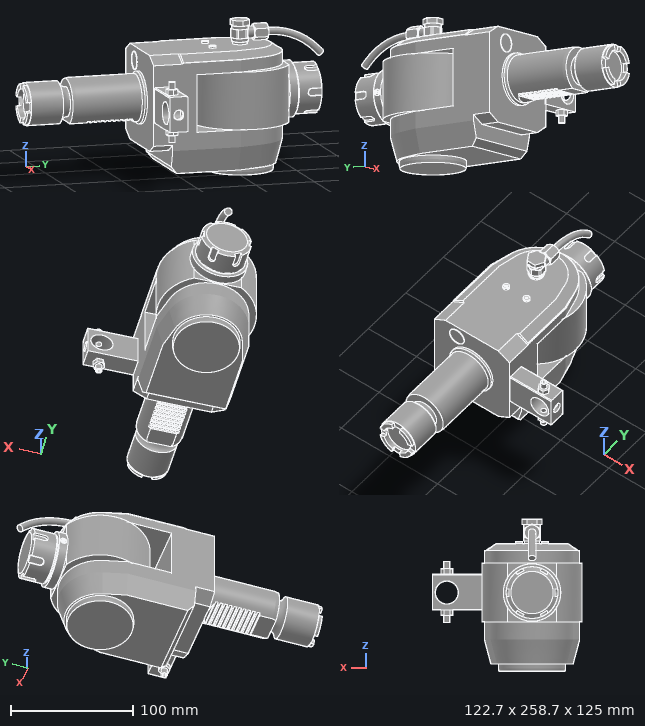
import cadquery as cq
import math


half_width = 39.0
half_height = 40.0
drum_y = 86.0
nose_radius = 35.0
nose_taper = math.radians(15)

rear_chamfer_width = 11.6
rear_chamfer_height = 6.5
rear_slab_length = 16.3
top_step_start_y = 24.5
top_step_end_y = 25.9
bevel_width = 8.5
bevel_height = 5.7
bevel_side_ledge = 1.0
bevel_nose_ledge = 0.3

base_top = -38.8
base_bottom = -58.7
base_draft = 15.0
base_chamfer_y = 5.2
base_chamfer_z = 6.2

drum_radius = 41.0
drum_half_height = 24.0
drum_flat_y = 121.8
window_rear_y = 37.2

collar_radius = 23.5
collar_end_y = 129.0
set_screw_y = 125.5
set_screw_radius = 2.5
set_screw_socket_radius = 1.0
set_screw_recess = 0.8
nut_neck_radius = 20.2
nut_radius = 21.2
nut_start_y = 130.4
nut_end_y = 151.0
nut_face_radius = 17.3
nut_rim_y = 149.5
nut_slot_count = 6
nut_slot_width = 6.2
nut_slot_end_y = 138.1
nut_slot_depth = 2.3

bottom_disc_radius = 27.7
bottom_disc_z = -64.7
bottom_disc_edge_z = -62.3
bottom_disc_face_radius = 27.2

shank_radius = 20.0
shank_end_y = -63.0
flange_radius = 21.7
flange_length = 2.0
flange_cone_end_y = -4.0
shank_rim_length = 3.0
shank_rim_radius = 19.5
neck_radius = 12.5
coupling_radius = 17.8
coupling_start_y = -70.5
coupling_end_y = -101.1
coupling_tip_radius = 17.0
claw_depth = 3.0
claw_inner_half_width = 3.5
claw_outer_half_width = 4.7
claw_recess_radius = 12.7
claw_recess_depth = 5.2

tooth_flat_z = -16.5
tooth_flat_start_y = -9.0
tooth_pitch = 4.0
tooth_count = 10
tooth_depth = 1.3
groove_mouth = 2.8
groove_floor = 2.0
tooth_first_y = -11.0

plug_x = -15.8
plug_z = 28.0
plug_radius = 7.5
plug_recess = 0.5

arm_end_x = 81.7
arm_rear_y = 0.8
arm_front_y = 16.3
arm_bottom = -14.2
arm_top = 15.3
arm_hole_x = 69.8
arm_hole_radius = 9.3
arm_screw_y = 6.2
arm_screw_radius = 2.5
arm_screw_socket_radius = 1.3
arm_screw_socket_depth = 2.5
arm_screw_hole_radius = 2.3
arm_screw_length = 10.3
arm_nut_width = 9.8
arm_nut_height = 4.5
arm_side_hole_radius = 4.1
arm_edge_chamfer = 0.8

fitting_base_radius = 6.2
fitting_base_top = 42.2
fitting_body_radius = 6.85
fitting_top = 60.3
cap_bottom = 55.5
cap_width = 16.5
banjo_bottom = 45.3
banjo_top = 52.8
banjo_width = 16.3
banjo_turned_radius = 7.8
port_z = 49.1
port_radius = 5.0
hose_nut_start = 11.0
hose_nut_end = 23.0
hose_nut_width = 14.2
hose_nut_chamfer = 0.9
hose_radius = 3.0
hose_root_length = 1.8
hose_bend_radius = 57.5
hose_bend_angle = math.radians(45.5)
hose_tip_length = 5.2

top_screw_x = 10.5
top_screw_y = 59.2
top_screw_radius = 2.8
top_screw_height = 1.5
top_screw_socket_radius = 1.3


def y_cylinder(radius, y_start, y_end, x=0.0, z=0.0):
    """Cylinder along Y."""
    direction = cq.Vector(0, math.copysign(1, y_end - y_start), 0)
    solid = cq.Solid.makeCylinder(radius, abs(y_end - y_start), cq.Vector(x, y_start, z), direction)
    return cq.Workplane(solid)


def z_cylinder(radius, z_start, z_end, x=0.0, y=0.0):
    """Vertical cylinder."""
    return cq.Workplane("XY", origin=(x, y, z_start)).circle(radius).extrude(z_end - z_start)


def hexagon(width, z_start, z_end, x, y, turn=0):
    """Vertical hexagonal prism measured across corners; turn = 0 puts a corner on +X."""
    prism = cq.Workplane("XY").polygon(6, width).extrude(z_end - z_start)
    return prism.rotate((0, 0, 0), (0, 0, 1), turn).translate((x, y, z_start))


def box(x_range, y_range, z_range):
    """Box spanning three coordinate ranges."""
    sizes = [high - low for low, high in (x_range, y_range, z_range)]
    corner = (x_range[0], y_range[0], z_range[0])
    return cq.Workplane("XY").box(*sizes, centered=False).translate(corner)


cheek_start_y = (
    drum_y
    + nose_radius * math.sin(nose_taper)
    - (half_width - nose_radius * math.cos(nose_taper)) / math.tan(nose_taper)
)


def nose_outline(z, side=half_width, radius=nose_radius):
    """Plan outline of the housing: straight sides, leaning cheeks and a round nose."""
    tangent_x = radius * math.cos(nose_taper)
    tangent_y = drum_y + radius * math.sin(nose_taper)
    return (
        cq.Workplane("XY", origin=(0, 0, z))
        .moveTo(-side, 0)
        .lineTo(side, 0)
        .lineTo(side, cheek_start_y)
        .lineTo(tangent_x, tangent_y)
        .threePointArc((0, drum_y + radius), (-tangent_x, tangent_y))
        .lineTo(-side, cheek_start_y)
        .close()
    )


def symmetric_section(right_side, y):
    """Closed cross-section at the given Y, mirrored from its right side about X = 0."""
    left_side = [(-x, z) for x, z in reversed(right_side)]
    return cq.Workplane("XZ", origin=(0, y, 0)).polyline(right_side + left_side).close()


def make_upper_housing():
    rear_shoulder = half_height - rear_chamfer_height
    bevel_bottom = half_height - bevel_height
    bevel_foot_x = half_width - bevel_side_ledge

    rear_slope_foot_z = rear_shoulder + rear_chamfer_height * bevel_side_ledge / rear_chamfer_width
    rear_section = [
        (half_width, base_top),
        (half_width, rear_shoulder),
        (bevel_foot_x, rear_slope_foot_z),
        (half_width - rear_chamfer_width, half_height),
    ]
    bevel_section = [
        (half_width, base_top),
        (half_width, bevel_bottom),
        (bevel_foot_x, bevel_bottom),
        (bevel_foot_x - bevel_width, half_height),
    ]
    rear = symmetric_section(rear_section, 0).extrude(-top_step_start_y)
    step = cq.Workplane(
        cq.Solid.makeLoft(
            [
                symmetric_section(rear_section, top_step_start_y).val(),
                symmetric_section(bevel_section, top_step_end_y).val(),
            ],
            True,
        )
    )

    plate = nose_outline(base_top).extrude(bevel_bottom - base_top)
    bevel_draft = math.degrees(math.atan2(bevel_width, bevel_height))
    cap_outline = nose_outline(bevel_bottom, bevel_foot_x, nose_radius - bevel_nose_ledge)
    front = plate.union(cap_outline.extrude(bevel_height, taper=bevel_draft))
    behind_step = box((-half_width, half_width), (0, top_step_end_y), (base_top, half_height))
    return front.cut(behind_step).union(step).union(rear)


def make_lower_block():
    block = nose_outline(base_top).extrude(base_bottom - base_top, taper=base_draft)
    profile = [
        (rear_slab_length, base_top),
        (rear_slab_length, base_bottom + base_chamfer_z),
        (rear_slab_length + base_chamfer_y, base_bottom),
        (drum_y + nose_radius, base_bottom),
        (drum_y + nose_radius, base_top),
    ]
    envelope = cq.Workplane("YZ").polyline(profile).close().extrude(half_width, both=True)
    return block.intersect(envelope)


def make_rear_foot():
    """Closes the rear slab octagon at the bottom."""
    right_side = [
        (half_width, 0),
        (half_width, rear_chamfer_height - half_height),
        (half_width - rear_chamfer_width, -half_height),
    ]
    return symmetric_section(right_side, 0).extrude(-rear_slab_length)


def make_housing():
    upper = make_upper_housing()
    under_foot = box((-half_width, half_width), (0, rear_slab_length), (base_top, 0))
    housing = upper.cut(under_foot).union(make_rear_foot()).union(make_lower_block())
    window = box(
        (-half_width, half_width),
        (window_rear_y, drum_y + nose_radius),
        (-drum_half_height, drum_half_height),
    )
    return housing.cut(window)


def make_drum():
    drum = z_cylinder(drum_radius, -drum_half_height, drum_half_height, 0, drum_y)
    beyond_flat = box(
        (-drum_radius, drum_radius),
        (drum_flat_y, drum_y + drum_radius),
        (-drum_half_height, drum_half_height),
    )
    disc = (
        cq.Workplane("XZ", origin=(0, drum_y, 0))
        .moveTo(0, base_bottom)
        .lineTo(bottom_disc_radius, base_bottom)
        .lineTo(bottom_disc_radius, bottom_disc_edge_z)
        .lineTo(bottom_disc_face_radius, bottom_disc_z)
        .lineTo(0, bottom_disc_z)
        .close()
        .revolve(360, (0, 0, 0), (0, 1, 0))
    )
    return drum.cut(beyond_flat).union(disc)


def make_collet_nut():
    nut = (
        cq.Workplane("XY")
        .moveTo(0, nut_start_y)
        .lineTo(nut_radius, nut_start_y)
        .lineTo(nut_radius, nut_rim_y)
        .lineTo(nut_face_radius, nut_end_y)
        .lineTo(0, nut_end_y)
        .close()
        .revolve(360, (0, 0, 0), (0, 1, 0))
    )
    slot_centre_y = nut_slot_end_y + nut_slot_width / 2
    floor_x = nut_radius - nut_slot_depth
    slot = box(
        (floor_x, nut_radius),
        (slot_centre_y, nut_end_y),
        (-nut_slot_width / 2, nut_slot_width / 2),
    ).union(
        cq.Workplane("YZ", origin=(floor_x, 0, 0))
        .center(slot_centre_y, 0)
        .circle(nut_slot_width / 2)
        .extrude(nut_slot_depth)
    )
    for index in range(nut_slot_count):
        nut = nut.cut(slot.rotate((0, 0, 0), (0, 1, 0), index * 360 / nut_slot_count))
    return nut


def make_front_spindle():
    collar = y_cylinder(collar_radius, drum_flat_y, collar_end_y)
    seat = cq.Workplane("YZ", origin=(-collar_radius, 0, 0)).center(set_screw_y, 0)
    collar = collar.cut(
        seat.circle(set_screw_radius).circle(set_screw_socket_radius).extrude(set_screw_recess)
    )
    neck = y_cylinder(nut_neck_radius, collar_end_y, nut_start_y)
    return collar.union(neck).union(make_collet_nut())


def make_shank_teeth():
    """Material removed below the shank: a flat with a 45 degree run-out, plus cross grooves."""
    run_out = flange_radius + tooth_flat_z
    below = -flange_radius - 2.5
    flat = (
        cq.Workplane("YZ")
        .moveTo(tooth_flat_start_y, tooth_flat_z)
        .lineTo(tooth_flat_start_y + run_out, -flange_radius)
        .lineTo(tooth_flat_start_y + run_out, below)
        .lineTo(shank_end_y, below)
        .lineTo(shank_end_y, tooth_flat_z)
        .close()
        .extrude(flange_radius, both=True)
    )
    for index in range(tooth_count):
        groove_y = tooth_first_y - index * tooth_pitch
        groove = (
            cq.Workplane("YZ")
            .moveTo(groove_y - groove_mouth / 2, tooth_flat_z)
            .lineTo(groove_y - groove_floor / 2, tooth_flat_z + tooth_depth)
            .lineTo(groove_y + groove_floor / 2, tooth_flat_z + tooth_depth)
            .lineTo(groove_y + groove_mouth / 2, tooth_flat_z)
            .close()
            .extrude(flange_radius, both=True)
        )
        flat = flat.union(groove)
    return flat


def make_shank():
    rim_y = shank_end_y + shank_rim_length
    tip_y = coupling_end_y + claw_depth

    flare_length = shank_end_y - coupling_start_y
    flare_rise = coupling_radius - neck_radius
    flare_radius = (flare_length**2 + flare_rise**2) / (2 * flare_rise)
    half_angle = math.atan2(flare_rise, flare_length)
    flare_middle = (
        neck_radius + flare_radius * (1 - math.cos(half_angle)),
        shank_end_y - flare_radius * math.sin(half_angle),
    )

    shank = (
        cq.Workplane("XY")
        .moveTo(0, 0)
        .lineTo(flange_radius, 0)
        .lineTo(flange_radius, -flange_length)
        .lineTo(shank_radius, flange_cone_end_y)
        .lineTo(shank_radius, rim_y)
        .lineTo(shank_rim_radius, shank_end_y)
        .lineTo(neck_radius, shank_end_y)
        .threePointArc(flare_middle, (coupling_radius, coupling_start_y))
        .lineTo(coupling_radius, tip_y)
        .lineTo(coupling_tip_radius, tip_y)
        .lineTo(coupling_tip_radius, coupling_end_y)
        .lineTo(0, coupling_end_y)
        .close()
        .revolve(360, (0, 0, 0), (0, 1, 0))
    )
    shank = shank.cut(make_shank_teeth())
    shank = shank.cut(y_cylinder(claw_recess_radius, coupling_end_y + claw_recess_depth, coupling_end_y))
    claw_gap = (
        cq.Workplane("XZ", origin=(0, tip_y, 0))
        .moveTo(0, -claw_inner_half_width)
        .lineTo(claw_recess_radius, -claw_inner_half_width)
        .lineTo(coupling_radius, -claw_outer_half_width)
        .lineTo(coupling_radius, claw_outer_half_width)
        .lineTo(claw_recess_radius, claw_inner_half_width)
        .lineTo(0, claw_inner_half_width)
        .close()
        .extrude(claw_depth)
    )
    for quarter in range(4):
        shank = shank.cut(claw_gap.rotate((0, 0, 0), (0, 1, 0), quarter * 90))
    return shank


def make_arm():
    arm = box((half_width, arm_end_x), (arm_rear_y, arm_front_y), (arm_bottom, arm_top))
    arm = arm.edges("|X and >Z").chamfer(arm_edge_chamfer)
    arm = arm.cut(y_cylinder(arm_hole_radius, arm_rear_y, arm_front_y, arm_hole_x))
    side_hole = (
        cq.Workplane("YZ", origin=(arm_hole_x, (arm_rear_y + arm_front_y) / 2, 0))
        .circle(arm_side_hole_radius)
        .extrude(arm_end_x - arm_hole_x)
    )
    screw_hole = z_cylinder(arm_screw_hole_radius, arm_bottom, arm_top, arm_hole_x, arm_screw_y)
    arm = arm.cut(side_hole).cut(screw_hole)
    for face_z, outward in ((arm_top, 1), (arm_bottom, -1)):
        nut_z = face_z + outward * arm_nut_height
        tip_z = face_z + outward * arm_screw_length
        socket_z = tip_z - outward * arm_screw_socket_depth
        arm = arm.union(hexagon(arm_nut_width, face_z, nut_z, arm_hole_x, arm_screw_y))
        arm = arm.union(z_cylinder(arm_screw_radius, face_z, tip_z, arm_hole_x, arm_screw_y))
        arm = arm.cut(z_cylinder(arm_screw_socket_radius, socket_z, tip_z, arm_hole_x, arm_screw_y))
    return arm


def make_fitting():
    fitting = z_cylinder(fitting_base_radius, half_height, fitting_base_top, 0, drum_y)
    fitting = fitting.union(z_cylinder(fitting_body_radius, fitting_base_top, cap_bottom, 0, drum_y))
    banjo = hexagon(banjo_width, banjo_bottom, banjo_top, 0, drum_y, turn=30)
    banjo = banjo.intersect(z_cylinder(banjo_turned_radius, banjo_bottom, banjo_top, 0, drum_y))
    return fitting.union(banjo).union(hexagon(cap_width, cap_bottom, fitting_top, 0, drum_y))


def make_hose():
    port = y_cylinder(port_radius, drum_y, drum_y + hose_nut_start, 0, port_z)

    nut = hexagon(hose_nut_width, hose_nut_start, hose_nut_end, 0, 0)
    turned_ends = z_cylinder(hose_nut_width / 2, hose_nut_start, hose_nut_end).faces("<Z or >Z")
    nut = nut.intersect(turned_ends.chamfer(hose_nut_chamfer))
    nut = nut.rotate((0, 0, 0), (0, 0, 1), 90).rotate((0, 0, 0), (1, 0, 0), -90)
    nut = nut.translate((0, drum_y, port_z))

    root_y = drum_y + hose_nut_end
    bend_y = root_y + hose_root_length

    def bend_point(angle):
        drop = hose_bend_radius * (1 - math.cos(angle))
        return (bend_y + hose_bend_radius * math.sin(angle), port_z - drop)

    tip_step_y = hose_tip_length * math.cos(hose_bend_angle)
    tip_step_z = -hose_tip_length * math.sin(hose_bend_angle)
    path = (
        cq.Workplane("YZ")
        .moveTo(root_y, port_z)
        .lineTo(bend_y, port_z)
        .threePointArc(bend_point(hose_bend_angle / 2), bend_point(hose_bend_angle))
        .line(tip_step_y, tip_step_z)
    )
    hose = cq.Workplane("XZ", origin=(0, root_y, port_z)).circle(hose_radius).sweep(path)
    return port.union(nut).union(hose)


def make_top_screw(x):
    screw = z_cylinder(top_screw_radius, half_height, half_height + top_screw_height, x, top_screw_y)
    return screw.cut(
        z_cylinder(top_screw_socket_radius, half_height, half_height + top_screw_height, x, top_screw_y)
    )


result = (
    make_housing()
    .union(make_drum())
    .union(make_front_spindle())
    .union(make_shank())
    .union(make_arm())
    .union(make_fitting())
    .union(make_hose())
)
for screw_x in (-top_screw_x, top_screw_x):
    result = result.union(make_top_screw(screw_x))
result = result.cut(y_cylinder(plug_radius, 0, plug_recess, plug_x, plug_z))